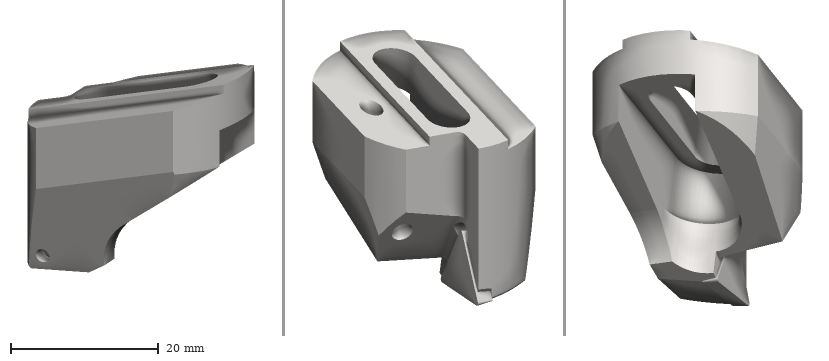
import cadquery as cq
import math


TOP_SLOPE = 14.0
SIDE_TAPER = 14.5
UNDERSIDE_SLOPE = 35.0
HEEL_SLOPE = 30.0
CONE_ANGLE = 20.0
ADJUSTER_SLOPE = 60.0
INSERT_TURN = 3.0
CLEARANCE_ANGLE = 7.0

OUTER_RADIUS = 15.0
WING_RADIUS = 16.0
WING_AXIS_X = 0.35
BACK_LEFT_RADIUS = 14.0
FRONT_Y = -11.5
BACK_Y = 12.5
BEYOND = 46.5

RAIL_WIDTH = 10.0
RAIL_HEIGHT = 1.25
SLOT_START = -10.25
SLOT_END = 11.07
SLOT_WIDTH = 6.2
CLAMP_DEPTH = 6.0
CLAMP_HEIGHT = 9.05
CLAMP_START = -12.45
CLAMP_OPENING_START = -10.55
CLAMP_WIDTH = 11.35
TAPER_DEPTH = 9.65

UNDERSIDE_X = 13.83
UNDERSIDE_Z = -7.95
WING_END_X = -2.08
WING_END_RADIUS = 8.0
BOTTOM_EDGE_RADIUS = 0.5

NOTCH_X = -11.0
NOTCH_CORNER_Z = -14.95
NOTCH_FILLET = 1.0
ADJUSTER_DIAMETER = 3.0
ADJUSTER_X = -0.1
ADJUSTER_Y = 8.0

INSERT_X = -10.9
INSERT_Z = -22.82
INSERT_INRADIUS = 3.2
INSERT_NOSE = 0.4
INSERT_THICKNESS = 2.4
RAKE_Y = 0.28
POCKET_GAP = 0.12
BOTTOM_GAP = 0.05
RELIEF_RADIUS = 1.5
TIP_WINDOW_REACH = 4.62
SCREW_RADIUS = 1.0
SCREW_CHAMFER = 0.2
SCREW_END_Y = -6.5


def tangent(degrees):
    return math.tan(math.radians(degrees))


def direction(degrees):
    """Unit vector in the XZ plane at an angle from +X toward +Z."""
    return cq.Vector(math.cos(math.radians(degrees)), 0, math.sin(math.radians(degrees)))


def half_chord(radius, offset):
    return math.sqrt(radius**2 - offset**2)


BOTTOM_NORMAL = INSERT_TURN - 90
UPPER_SIDE_NORMAL = BOTTOM_NORMAL + 120
APEX_ANGLE = INSERT_TURN + 90
NOSE_REACH = 2 * (INSERT_INRADIUS - INSERT_NOSE)
POCKET_FLOOR_Y = RAKE_Y - INSERT_THICKNESS
INSERT_CENTRE = cq.Vector(INSERT_X, 0, INSERT_Z)

top_plane = cq.Plane(origin=(0, 0, 0), xDir=direction(TOP_SLOPE).toTuple(),
                     normal=direction(TOP_SLOPE + 90).toTuple())


def section_plane(origin, outward_angle):
    """Plane whose X is an outward direction in XZ and whose Y is the part's +Y."""
    outward = direction(outward_angle)
    return cq.Plane(origin=origin, xDir=outward.toTuple(),
                    normal=outward.cross(cq.Vector(0, 1, 0)).toTuple())


def outline_prism():
    back_right_x = half_chord(OUTER_RADIUS, BACK_Y)
    front_right_x = half_chord(OUTER_RADIUS, FRONT_Y)
    front_left_x = WING_AXIS_X - half_chord(WING_RADIUS, FRONT_Y)
    wing_mid_y = FRONT_Y / 2
    wing_mid_x = WING_AXIS_X - half_chord(WING_RADIUS, wing_mid_y)
    back_left_x = -half_chord(BACK_LEFT_RADIUS, BACK_Y)
    back_mid_y = BACK_Y / 2
    back_mid_x = -half_chord(BACK_LEFT_RADIUS, back_mid_y)
    return (
        cq.Workplane("XY")
        .workplane(offset=-BEYOND)
        .moveTo(back_left_x, BACK_Y)
        .lineTo(back_right_x, BACK_Y)
        .threePointArc((OUTER_RADIUS, 0), (front_right_x, FRONT_Y))
        .lineTo(front_left_x, FRONT_Y)
        .threePointArc((wing_mid_x, wing_mid_y), (WING_AXIS_X - WING_RADIUS, 0))
        .lineTo(-BACK_LEFT_RADIUS, 0)
        .threePointArc((back_mid_x, back_mid_y), (back_left_x, BACK_Y))
        .close()
        .extrude(2 * BEYOND)
    )


def cross_section_blank():
    """Section across the slope: rail, shoulders, upright sides and leaning lower sides."""
    lower = -BEYOND
    lean = (BEYOND - TAPER_DEPTH) * tangent(SIDE_TAPER)
    half_rail = RAIL_WIDTH / 2
    across = cq.Plane(origin=(0, 0, 0), xDir=(0, 1, 0), normal=direction(TOP_SLOPE).toTuple())
    points = [
        (-half_rail, 0), (half_rail, 0), (half_rail, -RAIL_HEIGHT), (BACK_Y, -RAIL_HEIGHT),
        (BACK_Y, -TAPER_DEPTH), (BACK_Y - lean, lower), (FRONT_Y + lean, lower),
        (FRONT_Y, -TAPER_DEPTH), (FRONT_Y, -RAIL_HEIGHT), (-half_rail, -RAIL_HEIGHT),
    ]
    return cq.Workplane(across).polyline(points).close().extrude(BEYOND, both=True)


def underside_z(x):
    return UNDERSIDE_Z + (x - UNDERSIDE_X) * tangent(UNDERSIDE_SLOPE)


def rear_underside_cutter():
    points = [(BEYOND, underside_z(BEYOND)), (-BEYOND, underside_z(-BEYOND)),
              (-BEYOND, -2 * BEYOND), (BEYOND, -2 * BEYOND)]
    return cq.Workplane("XZ").polyline(points).close().extrude(-BEYOND)


def wing_underside_cutter():
    """Sloping underside, then a concave arc down to an upright end and a bevelled heel."""
    corner = cq.Vector(WING_END_X, 0, underside_z(WING_END_X))
    tangent_length = WING_END_RADIUS * tangent((90 - UNDERSIDE_SLOPE) / 2)
    arc_start = corner + direction(UNDERSIDE_SLOPE) * tangent_length
    arc_end = corner - cq.Vector(0, 0, tangent_length)
    arc_centre = arc_end + cq.Vector(WING_END_RADIUS, 0, 0)
    arc_middle = arc_centre + direction(180 - (90 - UNDERSIDE_SLOPE) / 2) * WING_END_RADIUS
    heel = arc_end - direction(HEEL_SLOPE) * BEYOND
    return (
        cq.Workplane("XZ")
        .moveTo(BEYOND, underside_z(BEYOND))
        .lineTo(arc_start.x, arc_start.z)
        .threePointArc((arc_middle.x, arc_middle.z), (arc_end.x, arc_end.z))
        .lineTo(heel.x, heel.z)
        .lineTo(BEYOND, heel.z)
        .close()
        .extrude(BEYOND)
    )


def wing_bottom_cutter():
    """Space beyond the wing bottom, which follows the lower flank of the insert."""
    start = INSERT_INRADIUS - RAKE_Y * tangent(CLEARANCE_ANGLE) - BOTTOM_GAP
    lean = BEYOND * tangent(CLEARANCE_ANGLE)
    points = [(start, 0), (start - lean, -BEYOND), (BEYOND, -BEYOND), (BEYOND, 0)]
    plane = section_plane(INSERT_CENTRE.toTuple(), BOTTOM_NORMAL)
    return cq.Workplane(plane).polyline(points).close().extrude(BEYOND, both=True)


def notch_cutter(outward_angle, taper):
    """Space on the +Y side of the wing face, up to a wall that leans outward by a taper."""
    setback = NOTCH_FILLET / tangent((90 + taper) / 2)
    lean = math.radians(taper)
    wall_end = (setback * math.sin(lean), setback * math.cos(lean))
    middle = math.radians((taper - 90) / 2)
    arc_centre = (-setback, NOTCH_FILLET)
    arc_middle = (arc_centre[0] + NOTCH_FILLET * math.cos(middle),
                  arc_centre[1] + NOTCH_FILLET * math.sin(middle))
    plane = section_plane((NOTCH_X, 0, NOTCH_CORNER_Z), outward_angle)
    return (
        cq.Workplane(plane)
        .moveTo(-BEYOND, 0)
        .lineTo(-setback, 0)
        .threePointArc(arc_middle, wall_end)
        .lineTo(BEYOND * tangent(taper), BEYOND)
        .lineTo(-BEYOND, BEYOND)
        .close()
        .extrude(BEYOND, both=True)
    )


def lower_cone_cutter():
    """Ring outside the cone that tapers the right end below the outer cylinder."""
    inner = OUTER_RADIUS - BEYOND / 2 * tangent(CONE_ANGLE)
    points = [(OUTER_RADIUS, UNDERSIDE_Z), (BEYOND, UNDERSIDE_Z),
              (BEYOND, UNDERSIDE_Z - BEYOND / 2), (inner, UNDERSIDE_Z - BEYOND / 2)]
    ring = cq.Workplane("XZ").polyline(points).close().revolve(360, (0, 0), (0, 1))
    right_half = cq.Workplane("XY").box(BEYOND, 2 * BEYOND, 2 * BEYOND).translate((BEYOND / 2, 0, 0))
    return ring.intersect(right_half)


def slot_cutter():
    return (
        cq.Workplane(top_plane)
        .center((SLOT_START + SLOT_END) / 2, 0)
        .slot2D(SLOT_END - SLOT_START, SLOT_WIDTH)
        .extrude(-CLAMP_DEPTH)
    )


def clamp_space_cutter(start, depth, height):
    """Space below a depth, rounded at its left end and open toward +X."""
    half_width = CLAMP_WIDTH / 2
    round_x = start + half_width
    return (
        cq.Workplane(top_plane)
        .workplane(offset=-depth)
        .moveTo(BEYOND, half_width)
        .lineTo(round_x, half_width)
        .threePointArc((start, 0), (round_x, -half_width))
        .lineTo(BEYOND, -half_width)
        .close()
        .extrude(-height)
    )


def adjuster_hole_cutter():
    mouth_z = ADJUSTER_X * tangent(TOP_SLOPE) - RAIL_HEIGHT / math.cos(math.radians(TOP_SLOPE))
    axis = direction(ADJUSTER_SLOPE)
    start = cq.Vector(ADJUSTER_X, ADJUSTER_Y, mouth_z) + axis * ADJUSTER_DIAMETER
    plane = cq.Plane(origin=start.toTuple(), xDir=(0, 1, 0), normal=axis.toTuple())
    return cq.Workplane(plane).circle(ADJUSTER_DIAMETER / 2).extrude(-BEYOND)


def insert_shape(gap):
    """Triangle with rounded corners that narrows away from its cutting face, grown by a gap."""
    nose_centres = [INSERT_CENTRE + direction(APEX_ANGLE + turn) * NOSE_REACH for turn in (0, 120, 240)]
    return (
        cq.Workplane("XZ", origin=(0, RAKE_Y, 0))
        .polyline([(centre.x, centre.z) for centre in nose_centres])
        .close()
        .offset2D(INSERT_NOSE + gap)
        .extrude(INSERT_THICKNESS, taper=CLEARANCE_ANGLE)
    )


def tip_window_cutter():
    """Space around the insert tip, bounded by a plane parallel to the opposite insert side."""
    points = [(-TIP_WINDOW_REACH, 0), (-BEYOND, 0),
              (-BEYOND, POCKET_FLOOR_Y), (-TIP_WINDOW_REACH, POCKET_FLOOR_Y)]
    plane = section_plane(INSERT_CENTRE.toTuple(), UPPER_SIDE_NORMAL)
    return cq.Workplane(plane).polyline(points).close().extrude(BEYOND, both=True)


def y_cylinder(x, z, radius, start_y, end_y):
    return cq.Workplane("XZ", origin=(x, start_y, z)).circle(radius).extrude(start_y - end_y)


def round_wing_bottom(body):
    """Rounds the edge between the wing's outer surface and its bottom."""
    edge_y = FRONT_Y / 2
    edge_x = WING_AXIS_X - half_chord(WING_RADIUS, edge_y)
    near_edge = cq.selectors.NearestToPointSelector((edge_x, edge_y, INSERT_Z - INSERT_INRADIUS))
    return body.edges(near_edge).fillet(BOTTOM_EDGE_RADIUS)


def make_housing():
    body = outline_prism().intersect(cross_section_blank())
    body = body.cut(rear_underside_cutter()).cut(wing_underside_cutter()).cut(wing_bottom_cutter())
    body = round_wing_bottom(body)
    body = body.cut(lower_cone_cutter())

    body = body.cut(notch_cutter(0, 0)).cut(notch_cutter(UPPER_SIDE_NORMAL, CLEARANCE_ANGLE))

    body = body.cut(slot_cutter()).cut(adjuster_hole_cutter())
    body = body.cut(clamp_space_cutter(CLAMP_START, CLAMP_DEPTH, CLAMP_HEIGHT))
    body = body.cut(clamp_space_cutter(CLAMP_OPENING_START, CLAMP_DEPTH + CLAMP_HEIGHT, BEYOND))

    body = body.cut(insert_shape(POCKET_GAP)).cut(tip_window_cutter())
    apex = INSERT_CENTRE + direction(APEX_ANGLE) * NOSE_REACH
    body = body.cut(y_cylinder(apex.x, apex.z, RELIEF_RADIUS, NOTCH_FILLET, POCKET_FLOOR_Y))
    return body.cut(y_cylinder(INSERT_X, INSERT_Z, SCREW_RADIUS, 0, -BEYOND))


def make_insert():
    return insert_shape(0).cut(y_cylinder(INSERT_X, INSERT_Z, SCREW_RADIUS, RAKE_Y, -BEYOND))


def make_screw():
    shank = y_cylinder(INSERT_X, INSERT_Z, SCREW_RADIUS, RAKE_Y, SCREW_END_Y)
    return shank.faces("<Y").chamfer(SCREW_CHAMFER)


housing = make_housing()
insert = make_insert()
screw = make_screw()
result = cq.Compound.makeCompound([housing.solids().val(), insert.solids().val(), screw.val()])